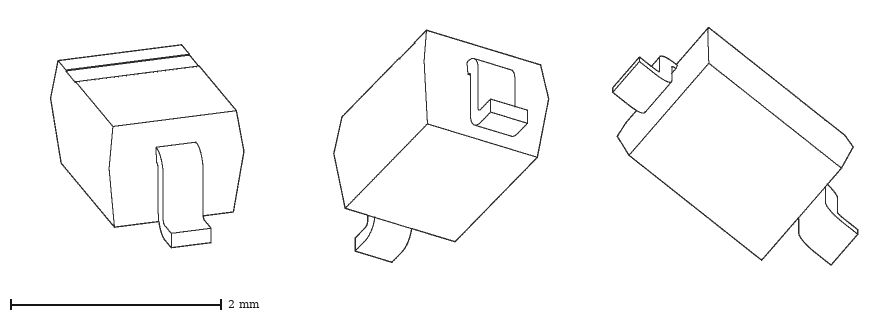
import cadquery as cq
import math

body_length = 1.80
body_width = 1.352
body_bottom = 0.05
parting_height = 0.70
body_top = 1.106
lower_draft = 7.0
upper_draft = 8.0

band_start = -0.60
band_width = 0.30
band_depth = 0.01

lead_span = 2.70
lead_width = 0.40
lead_thickness = 0.15
lead_top = 0.85
shank_outer_x = 1.10
inner_radius = 0.05
outer_radius = inner_radius + lead_thickness
lead_embed = 0.30


def tapered_half(height, angle):
    """Half of the body, narrowing away from the parting plane."""
    return (
        cq.Workplane("XY")
        .workplane(offset=parting_height)
        .rect(body_length, body_width)
        .extrude(height, taper=angle)
    )


def make_body():
    upper = tapered_half(body_top - parting_height, upper_draft)
    lower = tapered_half(body_bottom - parting_height, lower_draft)
    return upper.union(lower)


def cut_band(body):
    groove = cq.Workplane("XY").box(
        band_width, body_width, band_depth, centered=(False, True, False)
    )
    return body.cut(groove.translate((band_start, 0, body_top - band_depth)))


def make_lead():
    """Lead on the +X side: an S-shaped strip from inside the body down to the foot."""
    shank_inner_x = shank_outer_x - lead_thickness
    arm_x = body_length / 2 - lead_embed
    foot_x = lead_span / 2
    arm_bottom = lead_top - lead_thickness
    top_bend_x = shank_outer_x - outer_radius
    foot_bend_x = shank_inner_x + outer_radius
    arc_middle = math.cos(math.radians(45))
    outer_mid = outer_radius * arc_middle
    inner_mid = inner_radius * arc_middle
    top_bend_z = lead_top - outer_radius
    foot_bend_z = outer_radius

    profile = (
        cq.Workplane("XZ")
        .moveTo(arm_x, lead_top)
        .lineTo(top_bend_x, lead_top)
        .threePointArc((top_bend_x + outer_mid, top_bend_z + outer_mid), (shank_outer_x, top_bend_z))
        .lineTo(shank_outer_x, foot_bend_z)
        .threePointArc((foot_bend_x - inner_mid, foot_bend_z - inner_mid), (foot_bend_x, lead_thickness))
        .lineTo(foot_x, lead_thickness)
        .lineTo(foot_x, 0)
        .lineTo(foot_bend_x, 0)
        .threePointArc((foot_bend_x - outer_mid, foot_bend_z - outer_mid), (shank_inner_x, foot_bend_z))
        .lineTo(shank_inner_x, top_bend_z)
        .threePointArc((top_bend_x + inner_mid, top_bend_z + inner_mid), (top_bend_x, arm_bottom))
        .lineTo(arm_x, arm_bottom)
        .close()
    )
    return profile.extrude(lead_width / 2, both=True)


right_lead = make_lead()
left_lead = right_lead.mirror("YZ")
result = cut_band(make_body()).union(right_lead).union(left_lead)